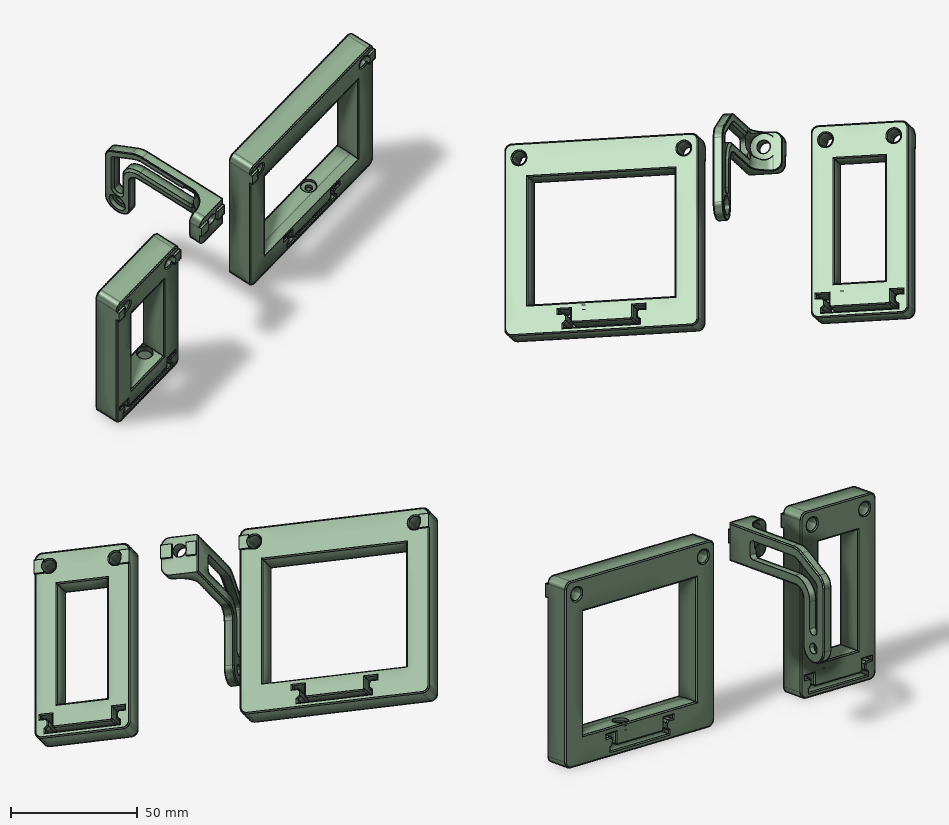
import cadquery as cq
import math

OVERALL_Y = 164.5
FRAME_HEIGHT = 78.0
FRAME_DEPTH = 10.9
EDGE_CHAMFER = 0.5
CORNER_RADIUS = 3.0

MOUNT_HOLE_DIA = 5.5
MOUNT_HOLE_INSET = 6.0
MOUNT_Z = FRAME_HEIGHT - MOUNT_HOLE_INSET
KEY_HEIGHT = 5.6
KEY_DEPTH = 1.0
FRAME_KEY_LENGTH = 4.0
BRACKET_KEY_LENGTH = 4.6

LARGE_WIDTH = 79.0
LARGE_SIDE_RAIL = 9.5
LARGE_BOTTOM_RAIL = 12.2
SMALL_WIDTH = 39.6
SMALL_SIDE_RAIL = 9.4
SMALL_BOTTOM_RAIL = 13.5
TOP_RAIL = 13.8
LARGE_CENTER_Y = (OVERALL_Y - LARGE_WIDTH) / 2
SMALL_CENTER_Y = (SMALL_WIDTH - OVERALL_Y) / 2
SILL_SLOPE_LENGTH = 4.1
SILL_SLOPE_DROP = 0.5

TONGUE_HALF = 12.7
TONGUE_BOTTOM = 4.0
TONGUE_CORNER = 0.7
LEG_HALF = 14.1
HOOK_HALF = 17.6
HOOK_TOP = 9.5
HOOK_BOTTOM = 8.0
HOOK_CORNER = 1.0
FOOT_HALF = 15.5
FOOT_BOTTOM = 2.1
FOOT_TOP = 3.6
LEG_BOTTOM = 4.8

POCKET_DIA = 6.4
POCKET_DEPTH = 3.1
POCKET_FROM_FRONT = 3.6
POCKET_FROM_TONGUE_END = 5.5
RING_BORE_DIA = 3.0
RING_RECESS = 1.3

REACH = 56.0
ARM_THICKNESS = 4.1
ARM_BACK_Y = -14.1
BRACKET_HEIGHT = 15.8
BRACKET_WIDTH = 15.3
ARM_END_RADIUS = 6.1
ARM_END_DROP = 39.6
RIM = 4.0
ELBOW_OUTER_RADIUS = 5.0
SLOPE_RUN = 15.6
SLOPE_DROP = 10.0
SHOULDER_RADIUS = 6.3
CREST_RADIUS = 9.9
WINDOW_END_X = -12.5
WINDOW_END_RADIUS = 1.6
WINDOW_BOTTOM_DROP = 34.0
WINDOW_CHAMFER = 1.0
FRONT_CHAMFER = 0.3
FLANGE_THICKNESS = 5.1
FLANGE_CORNER = 3.6
WEB_RADIUS = 7.4
HEAD_CLEARANCE_DIA = 10.9
HEAD_CLEARANCE_LENGTH = 11.8
PIVOT_HOLE_DIA = 4.3
PIVOT_BORE_DIA = 8.0
PIVOT_BORE_DEPTH = 2.0


def cylinder_x(x_start, length, dia, y, z):
    return cq.Workplane("YZ", origin=(x_start, y, z)).circle(dia / 2).extrude(length)


def block(x_range, y_range, z_range):
    lows, highs = zip(x_range, y_range, z_range)
    spans = [high - low for low, high in zip(lows, highs)]
    return cq.Workplane("XY", origin=lows).box(*spans, centered=False)


def latch_slot(center_y):
    """Slot that leaves a tongue hanging between two hooked legs, cut through along X."""
    half = [
        (TONGUE_HALF, TONGUE_BOTTOM + TONGUE_CORNER),
        (TONGUE_HALF, HOOK_TOP),
        (HOOK_HALF, HOOK_TOP),
        (HOOK_HALF, HOOK_BOTTOM),
        (LEG_HALF + HOOK_CORNER, HOOK_BOTTOM),
        (LEG_HALF, HOOK_BOTTOM - HOOK_CORNER),
        (LEG_HALF, LEG_BOTTOM),
        (FOOT_HALF, FOOT_TOP),
        (FOOT_HALF, FOOT_BOTTOM),
    ]
    tongue_end = (TONGUE_HALF - TONGUE_CORNER, TONGUE_BOTTOM)
    right = [tongue_end] + half
    left = [(-y, z) for y, z in reversed(right)]
    return (
        cq.Workplane("YZ", origin=(-FRAME_DEPTH, center_y, 0))
        .polyline(right + left)
        .close()
        .extrude(FRAME_DEPTH)
    )


def pocket_floor(center_y, bottom_rail):
    """Workplane on the floor of the pocket, centred on it."""
    x = POCKET_FROM_FRONT - FRAME_DEPTH
    y = center_y + TONGUE_HALF - POCKET_FROM_TONGUE_END
    return cq.Workplane("XY", origin=(x, y, bottom_rail - POCKET_DEPTH))


def tongue_pocket(center_y, bottom_rail):
    return pocket_floor(center_y, bottom_rail).circle(POCKET_DIA / 2).extrude(POCKET_DEPTH)


def mounting_key(y_low, y_high):
    z_range = (MOUNT_Z - KEY_HEIGHT / 2, MOUNT_Z + KEY_HEIGHT / 2)
    return block((-EDGE_CHAMFER, KEY_DEPTH), (y_low, y_high), z_range)


def frame(width, side_rail, bottom_rail, center_y):
    """Rectangular frame with a window, two mounting holes with keys, a latch slot and a tongue pocket."""
    middle_z = FRAME_HEIGHT / 2
    window_height = FRAME_HEIGHT - TOP_RAIL - bottom_rail
    body = (
        cq.Workplane("YZ", origin=(-FRAME_DEPTH, center_y, middle_z))
        .rect(width, FRAME_HEIGHT)
        .extrude(FRAME_DEPTH)
        .edges("|X")
        .fillet(CORNER_RADIUS)
    )
    window = (
        cq.Workplane("YZ", origin=(-FRAME_DEPTH, center_y, bottom_rail + window_height / 2))
        .rect(width - 2 * side_rail, window_height)
        .extrude(FRAME_DEPTH)
    )
    body = body.cut(window).cut(latch_slot(center_y))
    hole_offset = width / 2 - MOUNT_HOLE_INSET
    hole_length = FRAME_DEPTH + KEY_DEPTH
    hole_places = (center_y - hole_offset, center_y + hole_offset)
    holes = [cylinder_x(-FRAME_DEPTH, hole_length, MOUNT_HOLE_DIA, y, MOUNT_Z) for y in hole_places]
    for hole in holes:
        body = body.cut(hole)
    body = body.faces("<X or >X").chamfer(EDGE_CHAMFER)

    low, high = center_y - width / 2, center_y + width / 2
    body = body.union(mounting_key(low, low + FRAME_KEY_LENGTH))
    body = body.union(mounting_key(high - FRAME_KEY_LENGTH, high))
    for hole in holes:
        body = body.cut(hole)
    return body.cut(tongue_pocket(center_y, bottom_rail))


def sloped_sill():
    """Wedge that lowers the rear of the large window's sill."""
    window_width = LARGE_WIDTH - 2 * LARGE_SIDE_RAIL
    return (
        cq.Workplane("XZ", origin=(0, LARGE_CENTER_Y, LARGE_BOTTOM_RAIL))
        .polyline([(-SILL_SLOPE_LENGTH, 0), (0, 0), (0, -SILL_SLOPE_DROP)])
        .close()
        .extrude(window_width / 2, both=True)
    )


def pocket_ring():
    """Ring that sits on the pocket floor, below the sill surface."""
    floor = pocket_floor(LARGE_CENTER_Y, LARGE_BOTTOM_RAIL)
    return floor.circle(POCKET_DIA / 2).circle(RING_BORE_DIA / 2).extrude(POCKET_DEPTH - RING_RECESS)


def arm_plate():
    """Bent arm running from the flange to the round pivot end, with rounded outer corners."""
    top = FRAME_HEIGHT
    bend_x = -REACH + 2 * ARM_END_RADIUS
    pivot_z = top - ARM_END_DROP
    plate = (
        cq.Workplane("XZ", origin=(0, ARM_BACK_Y, 0))
        .moveTo(0, top)
        .lineTo(-REACH + SLOPE_RUN, top)
        .lineTo(-REACH, top - SLOPE_DROP)
        .lineTo(-REACH, pivot_z)
        .threePointArc((-REACH + ARM_END_RADIUS, pivot_z - ARM_END_RADIUS), (bend_x, pivot_z))
        .lineTo(bend_x, top - BRACKET_HEIGHT)
        .lineTo(0, top - BRACKET_HEIGHT)
        .close()
        .extrude(ARM_THICKNESS)
    )
    mid_y = ARM_BACK_Y - ARM_THICKNESS / 2
    corners = [
        (-REACH + SLOPE_RUN, top, CREST_RADIUS),
        (-REACH, top - SLOPE_DROP, SHOULDER_RADIUS),
        (bend_x, top - BRACKET_HEIGHT, ELBOW_OUTER_RADIUS),
    ]
    for x, z, radius in corners:
        plate = plate.edges(cq.NearestToPointSelector((x, mid_y, z))).fillet(radius)
    return plate


def arm_window():
    """Opening that follows the arm outline at a constant rim width."""
    top = FRAME_HEIGHT - RIM
    low = FRAME_HEIGHT - BRACKET_HEIGHT + RIM
    left = -REACH + RIM
    right = -REACH + 2 * ARM_END_RADIUS - RIM
    slope = math.atan2(SLOPE_DROP, SLOPE_RUN)
    crest_x = -REACH + SLOPE_RUN + RIM * math.tan(slope / 2)
    shoulder_z = FRAME_HEIGHT - SLOPE_DROP - RIM * math.tan((math.pi / 2 - slope) / 2)
    end_radius = (right - left) / 2
    end_z = FRAME_HEIGHT - WINDOW_BOTTOM_DROP + end_radius
    window = (
        cq.Workplane("XZ", origin=(0, ARM_BACK_Y, 0))
        .moveTo(WINDOW_END_X, top)
        .lineTo(crest_x, top)
        .lineTo(left, shoulder_z)
        .lineTo(left, end_z)
        .threePointArc((left + end_radius, end_z - end_radius), (right, end_z))
        .lineTo(right, low)
        .lineTo(WINDOW_END_X, low)
        .close()
        .extrude(ARM_THICKNESS)
    )
    mid_y = ARM_BACK_Y - ARM_THICKNESS / 2
    corners = [
        (crest_x, top, CREST_RADIUS - RIM),
        (left, shoulder_z, SHOULDER_RADIUS - RIM),
        (right, low, ELBOW_OUTER_RADIUS + RIM),
        (WINDOW_END_X, top, WINDOW_END_RADIUS),
        (WINDOW_END_X, low, WINDOW_END_RADIUS),
    ]
    for x, z, radius in corners:
        window = window.edges(cq.NearestToPointSelector((x, mid_y, z))).fillet(radius)
    return window


def flange():
    """Mounting flange square to the arm, blended into it by a concave web."""
    low_z = FRAME_HEIGHT - BRACKET_HEIGHT
    front_y = ARM_BACK_Y - ARM_THICKNESS
    outer_y = ARM_BACK_Y - BRACKET_WIDTH
    pad = block((-FLANGE_THICKNESS, 0), (outer_y, ARM_BACK_Y), (low_z, FRAME_HEIGHT))
    pad = pad.edges("|X and <Y").fillet(FLANGE_CORNER)
    web_x = -FLANGE_THICKNESS - WEB_RADIUS
    web = block((web_x, -FLANGE_THICKNESS), (front_y - WEB_RADIUS, front_y), (low_z, FRAME_HEIGHT))
    hollow = (
        cq.Workplane("XY", origin=(web_x, front_y - WEB_RADIUS, low_z))
        .circle(WEB_RADIUS)
        .extrude(BRACKET_HEIGHT)
    )
    return pad.union(web.cut(hollow))


def bracket():
    plate = arm_plate().cut(arm_window())
    window_rim = cq.selectors.LengthNthSelector(0)
    plate = plate.faces("<Y").wires(window_rim).chamfer(WINDOW_CHAMFER)
    body = plate.union(flange())

    front_y = ARM_BACK_Y - ARM_THICKNESS
    left_side_z = FRAME_HEIGHT - (SLOPE_DROP + ARM_END_DROP) / 2
    body = body.edges(cq.NearestToPointSelector((-REACH, front_y, left_side_z))).chamfer(FRONT_CHAMFER)
    outer_rim = cq.selectors.LengthNthSelector(-1)
    body = body.faces(">Y").wires(outer_rim).chamfer(EDGE_CHAMFER)

    hole_y = ARM_BACK_Y - BRACKET_WIDTH / 2
    clearance_x = -FLANGE_THICKNESS - HEAD_CLEARANCE_LENGTH
    body = body.cut(cylinder_x(clearance_x, HEAD_CLEARANCE_LENGTH, HEAD_CLEARANCE_DIA, hole_y, MOUNT_Z))

    outer_y = ARM_BACK_Y - BRACKET_WIDTH
    body = body.union(mounting_key(outer_y, outer_y + BRACKET_KEY_LENGTH))
    body = body.union(mounting_key(ARM_BACK_Y - BRACKET_KEY_LENGTH, ARM_BACK_Y - EDGE_CHAMFER))
    hole_length = FLANGE_THICKNESS + KEY_DEPTH
    body = body.cut(cylinder_x(-FLANGE_THICKNESS, hole_length, MOUNT_HOLE_DIA, hole_y, MOUNT_Z))

    pivot = cq.Workplane(
        "XZ", origin=(-REACH + ARM_END_RADIUS, ARM_BACK_Y, FRAME_HEIGHT - ARM_END_DROP)
    )
    bore_floor = ARM_THICKNESS - PIVOT_BORE_DEPTH
    body = body.cut(pivot.circle(PIVOT_HOLE_DIA / 2).extrude(ARM_THICKNESS))
    bore = pivot.workplane(offset=bore_floor).circle(PIVOT_BORE_DIA / 2).extrude(PIVOT_BORE_DEPTH)
    return body.cut(bore)


large_frame = frame(LARGE_WIDTH, LARGE_SIDE_RAIL, LARGE_BOTTOM_RAIL, LARGE_CENTER_Y).cut(sloped_sill())
small_frame = frame(SMALL_WIDTH, SMALL_SIDE_RAIL, SMALL_BOTTOM_RAIL, SMALL_CENTER_Y)
ring = pocket_ring()
arm_bracket = bracket()

result = cq.Compound.makeCompound(
    [large_frame.val(), small_frame.val(), ring.val(), arm_bracket.val()]
)